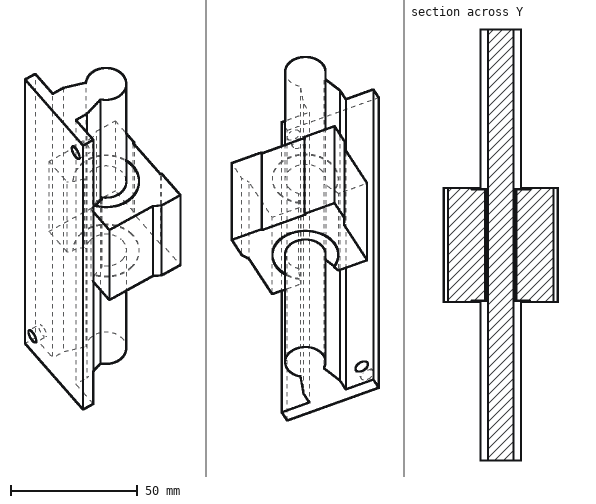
import cadquery as cq
import math

RAIL_LENGTH = 170.0
ROD_DIAMETER = 16.0
ROD_CENTER_Y = 25.0

BASE_WIDTH = 40.1
BASE_THICKNESS = 5.0
NECK_WIDTH = ROD_DIAMETER
NECK_SHOULDER_Y = 10.2
NECK_TOP_WIDTH = 10.2
NECK_TOP_Y = 18.9

HOLE_DIAMETER = 5.5
HOLE_OFFSET_X = 15.0
HOLE_OFFSET_Z = 75.0

BLOCK_WIDTH = 45.0
BLOCK_LENGTH = 45.0
BLOCK_TOP_Y = 45.0
BLOCK_HEIGHT = 33.0
BLOCK_LOWER_WIDTH = 41.6
FLANGE_HEIGHT = 9.0
FLANGE_TAPER_HEIGHT = 3.0
RELIEF_WIDTH = 18.9
RELIEF_DEPTH = 0.5
SLOT_GAP = 0.8
BUSHING_DIAMETER = 26.0
BUSHING_RECESS = 0.5


def extrude_along_z(profile, length):
    """Extrude an XY profile symmetrically about Z = 0."""
    return profile.extrude(length / 2, both=True)


def symmetric_profile(right_half):
    """Close an outline from its right half, listed starting at the bottom, and its mirror image."""
    left_half = [(-x, y) for x, y in reversed(right_half)]
    return cq.Workplane("XY").polyline(right_half + left_half).close()


def make_rail():
    """Flat base and tapering neck that carry the rod."""
    support = symmetric_profile([
        (BASE_WIDTH / 2, 0),
        (BASE_WIDTH / 2, BASE_THICKNESS),
        (NECK_WIDTH / 2, BASE_THICKNESS),
        (NECK_WIDTH / 2, NECK_SHOULDER_Y),
        (NECK_TOP_WIDTH / 2, NECK_TOP_Y),
        (NECK_TOP_WIDTH / 2, ROD_CENTER_Y),
    ])
    rod = cq.Workplane("XY").center(0, ROD_CENTER_Y).circle(ROD_DIAMETER / 2)
    return extrude_along_z(support, RAIL_LENGTH).union(extrude_along_z(rod, RAIL_LENGTH))


def make_mounting_holes():
    """Two diagonally opposite cutters that pass through the base."""
    return (
        cq.Workplane("XZ")
        .pushPoints([(HOLE_OFFSET_X, HOLE_OFFSET_Z), (-HOLE_OFFSET_X, -HOLE_OFFSET_Z)])
        .circle(HOLE_DIAMETER / 2)
        .extrude(-BASE_THICKNESS)
    )


def make_block():
    """Flanged block with a shallow top relief and a slot that clears the neck."""
    bottom_y = BLOCK_TOP_Y - BLOCK_HEIGHT
    flange_y = BLOCK_TOP_Y - FLANGE_HEIGHT
    body = symmetric_profile([
        (BLOCK_LOWER_WIDTH / 2, bottom_y),
        (BLOCK_LOWER_WIDTH / 2, flange_y - FLANGE_TAPER_HEIGHT),
        (BLOCK_WIDTH / 2, flange_y),
        (BLOCK_WIDTH / 2, BLOCK_TOP_Y),
        (RELIEF_WIDTH / 2, BLOCK_TOP_Y),
        (RELIEF_WIDTH / 2, BLOCK_TOP_Y - RELIEF_DEPTH),
    ])

    flank_slope = (NECK_WIDTH - NECK_TOP_WIDTH) / 2 / (NECK_TOP_Y - NECK_SHOULDER_Y)
    slot_top_x = NECK_TOP_WIDTH / 2 + SLOT_GAP * math.hypot(1, flank_slope)
    slot_bottom_x = slot_top_x + flank_slope * (NECK_TOP_Y - bottom_y)
    slot = symmetric_profile([(slot_bottom_x, bottom_y), (slot_top_x, NECK_TOP_Y)])

    return extrude_along_z(body, BLOCK_LENGTH).cut(extrude_along_z(slot, BLOCK_LENGTH))


def make_bushing_recesses():
    """Shallow round cutters at both block ends that set the bushing faces slightly inward."""
    bushing = cq.Workplane("XY").center(0, ROD_CENTER_Y).circle(BUSHING_DIAMETER / 2)
    cutter = extrude_along_z(bushing, BLOCK_LENGTH)
    core = cq.Workplane("XY").box(BLOCK_WIDTH, 2 * BLOCK_TOP_Y, BLOCK_LENGTH - 2 * BUSHING_RECESS)
    return cutter.cut(core)


result = make_block().cut(make_bushing_recesses()).union(make_rail()).cut(make_mounting_holes())